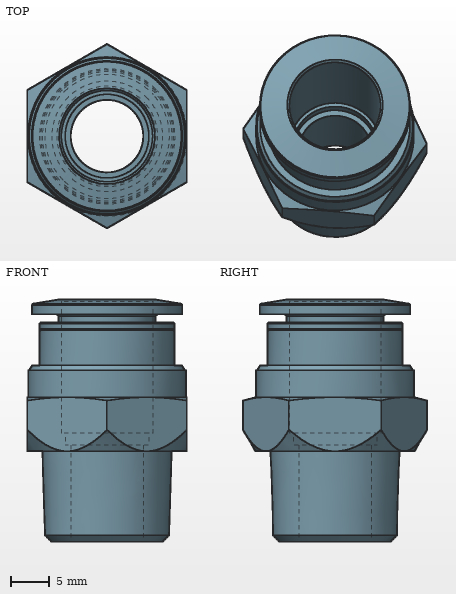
import cadquery as cq
import math

total_height = 31.9
thread_chamfer = 0.9
hex_bottom = 11.93
hex_top = 19.05
shoulder_top = 23.22
body_top = 28.87
flange_bottom = 29.92
flange_rim_top = 31.15
flange_cone_bottom = 31.33

thread_top_diameter = 17.05
thread_taper = 1 / 16
thread_bottom_diameter = thread_top_diameter - thread_taper * (hex_bottom - thread_chamfer)

across_flats = 21.0
across_corners = across_flats / math.cos(math.pi / 6)
hex_top_angle = 15.0
hex_bottom_angle = 60.0

shoulder_diameter = 20.8
shoulder_ledge = 0.15
shoulder_chamfer_width = 0.38
shoulder_chamfer_height = 0.65
body_diameter = 17.8
body_chamfer = 0.2
groove_diameter = 17.48
groove_top = 28.0
groove_width = 0.2

neck_diameter = 12.8
neck_chamfer = 0.22
flange_diameter = 19.8
flange_rim_chamfer = 0.13
mouth_diameter = 12.57

tube_diameter = 12.0
tube_stop_height = 14.35
step_diameter = 11.0
step_height = 12.75
through_diameter = 9.5


def revolve_profile(points):
    """Revolve a closed (radius, height) outline about the Z axis."""
    return cq.Workplane("XZ").polyline(points).close().revolve(360, (0, 0, 0), (0, 1, 0))


def cylinder(diameter, bottom, top):
    return cq.Workplane("XY").workplane(offset=bottom).circle(diameter / 2).extrude(top - bottom)


def make_thread():
    bottom_radius = thread_bottom_diameter / 2
    return revolve_profile([
        (0, 0),
        (bottom_radius - thread_chamfer, 0),
        (bottom_radius, thread_chamfer),
        (thread_top_diameter / 2, hex_bottom),
        (0, hex_bottom),
    ])


def make_hexagon():
    """Hexagon with its corners cut by a cone at each end."""
    prism = (
        cq.Workplane("XY")
        .workplane(offset=hex_bottom)
        .polygon(6, across_corners)
        .extrude(hex_top - hex_bottom)
        .rotate((0, 0, 0), (0, 0, 1), 90)
    )
    flat_radius = across_flats / 2
    corner_radius = across_corners / 2
    top_radius = shoulder_diameter / 2
    top_drop = (corner_radius - top_radius) * math.tan(math.radians(hex_top_angle))
    bottom_rise = (corner_radius - flat_radius) * math.tan(math.radians(hex_bottom_angle))
    envelope = revolve_profile([
        (0, hex_bottom),
        (flat_radius, hex_bottom),
        (corner_radius, hex_bottom + bottom_rise),
        (corner_radius, hex_top - top_drop),
        (top_radius, hex_top),
        (0, hex_top),
    ])
    return prism.intersect(envelope)


def make_body():
    """Chamfered shoulder carrying the grooved round body."""
    shoulder_radius = shoulder_diameter / 2
    chamfer_base_radius = shoulder_radius - shoulder_ledge
    body_radius = body_diameter / 2
    groove_radius = groove_diameter / 2
    groove_bottom = groove_top - groove_width
    return revolve_profile([
        (0, hex_top),
        (shoulder_radius, hex_top),
        (shoulder_radius, shoulder_top - shoulder_chamfer_height),
        (chamfer_base_radius, shoulder_top - shoulder_chamfer_height),
        (chamfer_base_radius - shoulder_chamfer_width, shoulder_top),
        (body_radius, shoulder_top),
        (body_radius, groove_bottom),
        (groove_radius, groove_bottom),
        (groove_radius, groove_top),
        (body_radius, groove_top),
        (body_radius, body_top - body_chamfer),
        (body_radius - body_chamfer, body_top),
        (0, body_top),
    ])


def make_collar():
    """Release collar with a conical top face."""
    neck_radius = neck_diameter / 2
    flange_radius = flange_diameter / 2
    return revolve_profile([
        (0, body_top),
        (neck_radius, body_top),
        (neck_radius, flange_bottom - neck_chamfer),
        (neck_radius + neck_chamfer, flange_bottom),
        (flange_radius, flange_bottom),
        (flange_radius, flange_rim_top),
        (flange_radius - flange_rim_chamfer, flange_cone_bottom),
        (mouth_diameter / 2, total_height),
        (0, total_height),
    ])


def make_bore():
    """Through hole, tube socket and chamfered mouth."""
    tube_radius = tube_diameter / 2
    mouth_radius = mouth_diameter / 2
    mouth_bottom = total_height - (mouth_radius - tube_radius)
    mouth = revolve_profile([
        (0, mouth_bottom),
        (tube_radius, mouth_bottom),
        (mouth_radius, total_height),
        (0, total_height),
    ])
    through = cylinder(through_diameter, 0, total_height)
    step = cylinder(step_diameter, step_height, total_height)
    socket = cylinder(tube_diameter, tube_stop_height, total_height)
    return through.union(step).union(socket).union(mouth)


outside = make_thread().union(make_hexagon()).union(make_body()).union(make_collar())
result = outside.cut(make_bore())